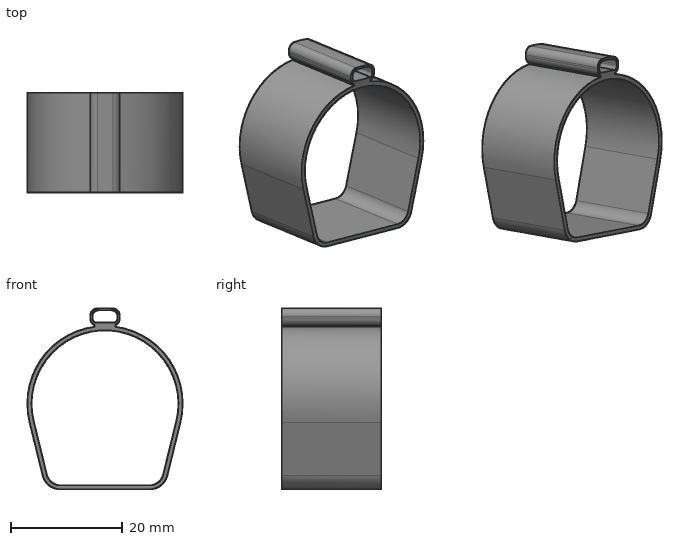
import cadquery as cq
import math

length = 18.0
total_height = 32.65

ring_radius = 14.0
ring_center_z = 15.42
ring_wall = 0.8
floor_wall = 0.75
base_corner_radius = 3.3
base_corner_x = 8.03

tube_half_width = 2.7
tube_wall = 0.45
roof_wall = 0.4
tube_upper_radius = 1.43
tube_lower_radius = 1.5
tube_lower_center_z = 30.88
tube_floor_z = 30.08

neck_half_width = 1.9


def mirrored(point):
    """Reflect a profile point across the Z axis."""
    return (-point[0], point[1])


def point_on_circle(center, radius, angle):
    """Point at an angle measured counterclockwise from +X."""
    return (center[0] + radius * math.cos(angle), center[1] + radius * math.sin(angle))


def extrude_profile(profile):
    """Extrude a closed XZ profile over the full length, centered on Y."""
    return profile.close().extrude(length / 2, both=True)


def ring_body(inset, floor_z):
    """Solid inside the ring outline moved inward by the inset, with its flat base at floor_z."""
    top_radius = ring_radius - inset
    corner_radius = base_corner_radius - inset
    corner_center = (base_corner_x, floor_z + corner_radius)

    center_rise = ring_center_z - corner_center[1]
    center_distance = math.hypot(base_corner_x, center_rise)
    center_slope = math.atan2(center_rise, base_corner_x)
    normal_angle = math.acos((top_radius - corner_radius) / center_distance) - center_slope

    side_top = point_on_circle((0, ring_center_z), top_radius, normal_angle)
    side_bottom = point_on_circle(corner_center, corner_radius, normal_angle)
    corner_middle = point_on_circle(corner_center, corner_radius, (normal_angle - math.pi / 2) / 2)
    base_end = (base_corner_x, floor_z)

    profile = (
        cq.Workplane("XZ")
        .moveTo(*mirrored(base_end))
        .lineTo(*base_end)
        .threePointArc(corner_middle, side_bottom)
        .lineTo(*side_top)
        .threePointArc((0, ring_center_z + top_radius), mirrored(side_top))
        .lineTo(*mirrored(side_bottom))
        .threePointArc(mirrored(corner_middle), mirrored(base_end))
    )
    return extrude_profile(profile)


def tube_body(inset, roof_inset, bottom_half_width):
    """Solid inside the tube outline moved inward, cut off at a flat bottom of the given half-width."""
    roof_z = total_height - roof_inset
    roof_radius = roof_z - ring_center_z
    side_x = tube_half_width - inset

    upper_radius = tube_upper_radius - inset
    upper_center_x = side_x - upper_radius
    upper_center_rise = math.sqrt((roof_radius - upper_radius) ** 2 - upper_center_x**2)
    upper_center = (upper_center_x, ring_center_z + upper_center_rise)
    roof_angle = math.atan2(upper_center_rise, upper_center_x)
    roof_end = point_on_circle(upper_center, upper_radius, roof_angle)
    upper_middle = point_on_circle(upper_center, upper_radius, roof_angle / 2)
    side_top = (side_x, upper_center[1])

    lower_radius = tube_lower_radius - inset
    lower_center = (side_x - lower_radius, tube_lower_center_z)
    bottom_angle = -math.acos((bottom_half_width - lower_center[0]) / lower_radius)
    side_bottom = (side_x, tube_lower_center_z)
    lower_middle = point_on_circle(lower_center, lower_radius, bottom_angle / 2)
    bottom_end = point_on_circle(lower_center, lower_radius, bottom_angle)

    profile = (
        cq.Workplane("XZ")
        .moveTo(*mirrored(bottom_end))
        .lineTo(*bottom_end)
        .threePointArc(lower_middle, side_bottom)
        .lineTo(*side_top)
        .threePointArc(upper_middle, roof_end)
        .threePointArc((0, roof_z), mirrored(roof_end))
        .threePointArc(mirrored(upper_middle), mirrored(side_top))
        .lineTo(*mirrored(side_bottom))
        .threePointArc(mirrored(lower_middle), mirrored(bottom_end))
    )
    return extrude_profile(profile)


def neck_body():
    """Straight-sided block from the ring center up to the tube floor, before the ring is hollowed."""
    height = tube_floor_z - ring_center_z
    middle_z = ring_center_z + height / 2
    return cq.Workplane("XY").box(2 * neck_half_width, length, height).translate((0, 0, middle_z))


bore_lower_radius = tube_lower_radius - tube_wall
floor_drop = tube_lower_center_z - tube_floor_z
floor_half_width = tube_half_width - tube_lower_radius + math.sqrt(bore_lower_radius**2 - floor_drop**2)

outer = ring_body(0, 0).union(neck_body()).union(tube_body(0, 0, neck_half_width))
result = outer.cut(ring_body(ring_wall, floor_wall)).cut(tube_body(tube_wall, roof_wall, floor_half_width))